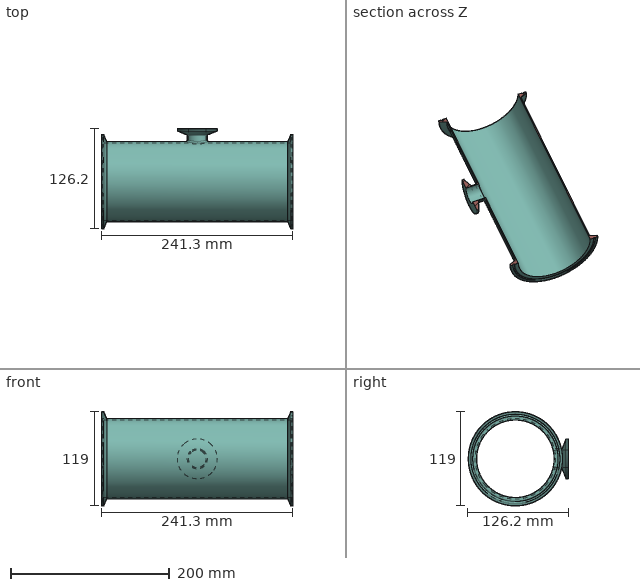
import cadquery as cq
import math

tube_length = 241.3
tube_diameter = 101.5
tube_bore = 97.5
end_rim_diameter = 119.0

branch_diameter = 25.3
branch_bore = 22.2
branch_rim_diameter = 50.5
overall_width = 126.2
branch_reach = overall_width - end_rim_diameter / 2
branch_root_fillet = 2.0

rim_thickness = 3.0
rim_front_rounding = 0.7
ferrule_angle = 22.0
ferrule_neck_fillet = 0.7

rim_back_rounding = 0.5

groove_diameter = 110.0
groove_depth = 1.2
groove_edge_rounding = 0.7


def edges_of_radius(solid, radius):
    """Circular edges of the given radius."""
    tolerance = 0.002
    circles = solid.edges("%CIRCLE")
    return circles.filter(lambda edge: abs(edge.radius() - radius) < tolerance)


def solid_ferruled_tube(diameter, rim_diameter, length):
    """Solid round bar on the Z axis, from z = 0 up to a clamp flange whose face is at z = length."""
    radius = diameter / 2
    rim_radius = rim_diameter / 2
    rim_back = length - rim_thickness
    cone_height = (rim_radius - radius) * math.tan(math.radians(ferrule_angle))
    bar = (
        cq.Workplane("XZ")
        .moveTo(0, 0)
        .lineTo(radius, 0)
        .lineTo(radius, rim_back - cone_height)
        .lineTo(rim_radius, rim_back)
        .lineTo(rim_radius, length)
        .lineTo(0, length)
        .close()
        .revolve(360, (0, 0, 0), (0, 1, 0))
    )
    bar = edges_of_radius(bar, rim_radius).edges(">Z").fillet(rim_front_rounding)
    return edges_of_radius(bar, radius).edges(">Z").fillet(ferrule_neck_fillet)


def cut_gasket_groove(bar, face_height):
    """Cut a half-round ring groove into the flange face and round over its two edges."""
    middle_radius = groove_diameter / 2
    groove = (
        cq.Workplane("XZ")
        .center(middle_radius, face_height)
        .circle(groove_depth)
        .revolve(360, (-middle_radius, 0, 0), (-middle_radius, 1, 0))
    )
    bar = bar.cut(groove)
    for edge_radius in (middle_radius - groove_depth, middle_radius + groove_depth):
        bar = edges_of_radius(bar, edge_radius).fillet(groove_edge_rounding)
    return bar


half_length = tube_length / 2
tube_half = solid_ferruled_tube(tube_diameter, end_rim_diameter, half_length)
rim_back_edge = edges_of_radius(tube_half, end_rim_diameter / 2).edges("<Z")
tube_half = rim_back_edge.fillet(rim_back_rounding)
tube_half = cut_gasket_groove(tube_half, half_length)
tube_half = tube_half.rotate((0, 0, 0), (0, 1, 0), 90)
tube = tube_half.union(tube_half.mirror("YZ"))

branch = solid_ferruled_tube(branch_diameter, branch_rim_diameter, branch_reach)
branch = branch.rotate((0, 0, 0), (1, 0, 0), -90)
body = tube.union(branch)

body = body.edges("not (%CIRCLE or %LINE)").fillet(branch_root_fillet)

tube_hole = cq.Workplane("YZ").circle(tube_bore / 2).extrude(half_length, both=True)
branch_hole = cq.Workplane("XZ").circle(branch_bore / 2).extrude(-branch_reach)
result = body.cut(tube_hole).cut(branch_hole)